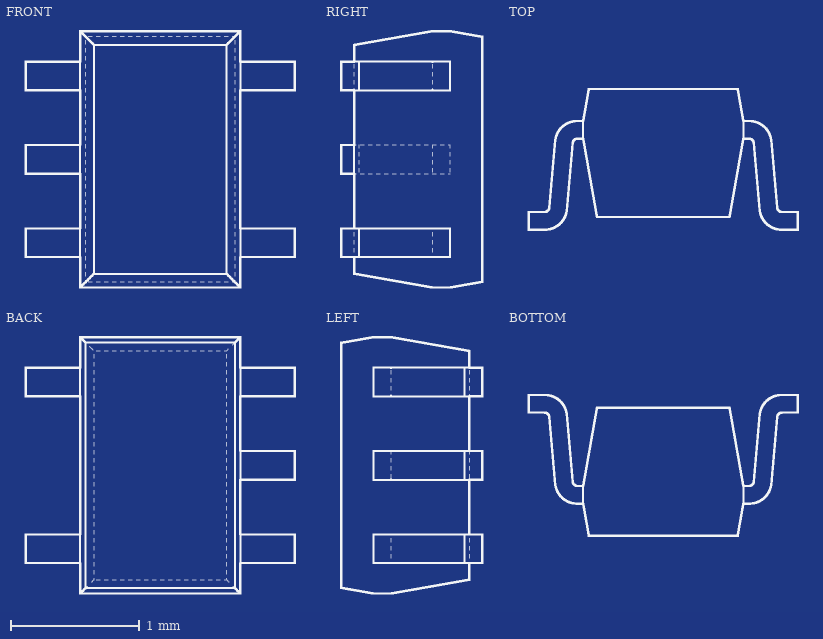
import cadquery as cq
import math


BODY_WIDTH = 1.25
BODY_LENGTH = 2.0
STANDOFF = 0.1
BODY_HEIGHT = 1.0
BAND_DEPTH = 0.25
BAND_HEIGHT = 0.14
DRAFT_ANGLE = 10.0

BODY_TOP = STANDOFF + BODY_HEIGHT
BAND_TOP = BODY_TOP - BAND_DEPTH
BAND_BOTTOM = BAND_TOP - BAND_HEIGHT

LEAD_SPAN = 2.1
LEAD_THICKNESS = BAND_HEIGHT
LEAD_WIDTH = 0.225
LEAD_PITCH = 0.65
INNER_RADIUS = 0.035
SHOULDER_LENGTH = 0.045
LEG_LEAN = math.radians(5.0)

OUTER_RADIUS = INNER_RADIUS + LEAD_THICKNESS
LEAD_ROOT = BODY_WIDTH / 2
LEAD_TIP = LEAD_SPAN / 2

LEFT_LEAD_POSITIONS = [-LEAD_PITCH, 0, LEAD_PITCH]
RIGHT_LEAD_POSITIONS = [-LEAD_PITCH, LEAD_PITCH]


def body_slab(start, end, draft):
    """Rectangular slab from Y = start to Y = end, narrowing towards its end by the draft angle."""
    facing = 1 if end > start else -1
    plane = cq.Plane(origin=(0, start, 0), xDir=(1, 0, 0), normal=(0, facing, 0))
    return cq.Workplane(plane).rect(BODY_WIDTH, BODY_LENGTH).extrude(abs(end - start), taper=draft)


def make_body():
    """Straight band with a drafted half above it and another below it."""
    band = body_slab(BAND_BOTTOM, BAND_TOP, 0)
    upper_half = body_slab(BAND_TOP, BODY_TOP, DRAFT_ANGLE)
    lower_half = body_slab(BAND_BOTTOM, STANDOFF, DRAFT_ANGLE)
    return band.union(upper_half).union(lower_half).solids()


def point_on_bend(center, radius, angle):
    return (center[0] + radius * math.cos(angle), center[1] + radius * math.sin(angle))


def make_lead(z_center):
    """Gull-wing lead on the -X side, centred on the given Z."""
    upper_center = (-LEAD_ROOT - SHOULDER_LENGTH, BAND_TOP - OUTER_RADIUS)
    rise = upper_center[1] - OUTER_RADIUS
    center_gap = (INNER_RADIUS + OUTER_RADIUS) / math.cos(LEG_LEAN)
    lower_center = (upper_center[0] - rise * math.tan(LEG_LEAN) - center_gap, OUTER_RADIUS)

    lower_start = -math.pi / 2
    lower_end = -LEG_LEAN
    lower_middle = (lower_start + lower_end) / 2
    upper_start = math.pi - LEG_LEAN
    upper_end = math.pi / 2
    upper_middle = (upper_start + upper_end) / 2

    profile = (
        cq.Workplane("XY", origin=(0, 0, z_center - LEAD_WIDTH / 2))
        .moveTo(-LEAD_TIP, 0)
        .lineTo(*point_on_bend(lower_center, OUTER_RADIUS, lower_start))
        .threePointArc(
            point_on_bend(lower_center, OUTER_RADIUS, lower_middle),
            point_on_bend(lower_center, OUTER_RADIUS, lower_end),
        )
        .lineTo(*point_on_bend(upper_center, INNER_RADIUS, upper_start))
        .threePointArc(
            point_on_bend(upper_center, INNER_RADIUS, upper_middle),
            point_on_bend(upper_center, INNER_RADIUS, upper_end),
        )
        .lineTo(-LEAD_ROOT, BAND_BOTTOM)
        .lineTo(-LEAD_ROOT, BAND_TOP)
        .lineTo(*point_on_bend(upper_center, OUTER_RADIUS, upper_end))
        .threePointArc(
            point_on_bend(upper_center, OUTER_RADIUS, upper_middle),
            point_on_bend(upper_center, OUTER_RADIUS, upper_start),
        )
        .lineTo(*point_on_bend(lower_center, INNER_RADIUS, lower_end))
        .threePointArc(
            point_on_bend(lower_center, INNER_RADIUS, lower_middle),
            point_on_bend(lower_center, INNER_RADIUS, lower_start),
        )
        .lineTo(-LEAD_TIP, LEAD_THICKNESS)
        .close()
    )
    return profile.extrude(LEAD_WIDTH)


body = make_body()
left_leads = [make_lead(z) for z in LEFT_LEAD_POSITIONS]
right_leads = [make_lead(z).mirror("YZ") for z in RIGHT_LEAD_POSITIONS]

result = cq.Compound.makeCompound([body.val(), *[lead.val() for lead in left_leads + right_leads]])